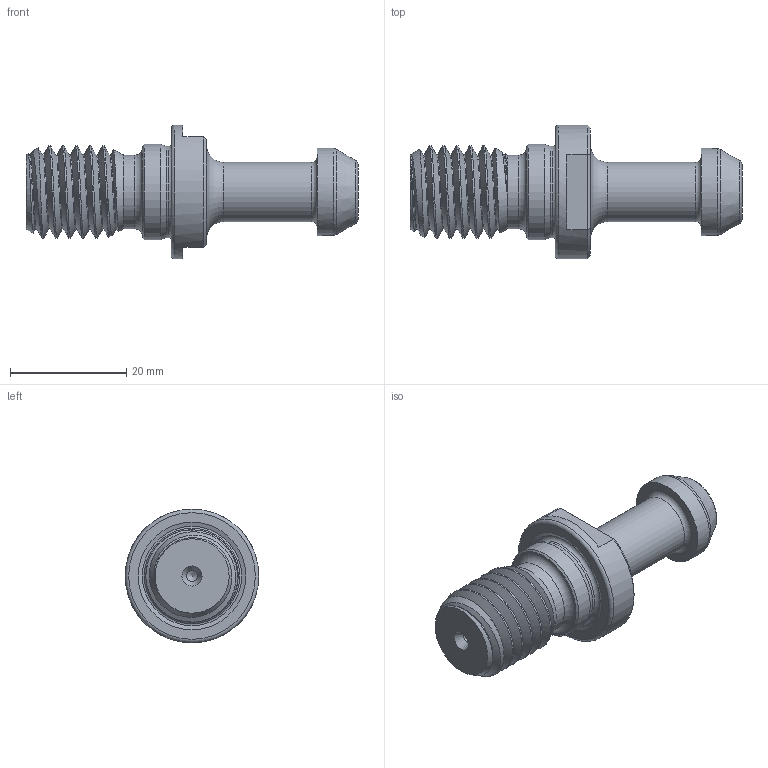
import cadquery as cq
import math

length = 57.15

threads_per_inch = 11
pitch = 25.4 / threads_per_inch
thread_radius = 7.94
thread_root_radius = 6.38
crest_width = pitch / 8
flank_slope = math.tan(math.radians(30))
taper_slope = math.tan(math.radians(30))
thread_tip_radius = 6.4
groove_overshoot = 0.15
groove_turns = 8
groove_lead_turns = 2.5
crest_x = 4.06
blank_overrun = pitch / 4

neck_start = 16.75
neck_radius = 6.35
neck_fillet = 1.3
collar_start = 20.03
collar_radius = 8.2
collar_corner = 0.3
collar_end = 23.2
relief_radius = 7.85
relief_start = 24.1

relief_arc_radius = 0.7
relief_depth = 0.25
relief_outer_radius = 9.26

flange_start = 25.0
flange_end = 31.05
flange_radius = 11.5
flange_fillet = 0.6
flange_chamfer = 0.5
flats_start = 27.0
flats_width = 19.0

shank_radius = 5.1
shank_fillet = 3.0
head_start = 50.1
head_radius = 7.5
head_fillet = 0.9
head_cone_start = 53.15
head_cone_slope = math.tan(math.radians(30))
head_shoulder_blend = 1.0
head_tip_blend = 0.9

centre_mouth_radius = 1.74
centre_pilot_radius = 0.92
centre_pilot_length = 1.5
centre_cone_slope = math.tan(math.radians(30))
drill_tip_slope = math.tan(math.radians(59))


def revolve_about_x(profile):
    """Turn a closed (x, radius) profile about the X axis."""
    return profile.close().revolve(360, (0, 0, 0), (1, 0, 0))


def fillet_arc(profile, start, end, centre):
    """Add a circular arc of a quarter turn or less from start to end about centre."""
    middle_x = (start[0] + end[0]) / 2 - centre[0]
    middle_r = (start[1] + end[1]) / 2 - centre[1]
    radius = math.dist(start, centre)
    stretch = radius / math.hypot(middle_x, middle_r)
    middle = (centre[0] + middle_x * stretch, centre[1] + middle_r * stretch)
    return profile.threePointArc(middle, end)


def thread_envelope():
    """Thread blank: a cylinder with a 30 degree taper at each end."""
    front_taper_length = (thread_radius - thread_tip_radius) / taper_slope
    back_taper_length = (thread_radius - neck_radius) / taper_slope
    profile = (
        cq.Workplane("XZ")
        .lineTo(0, thread_tip_radius)
        .lineTo(front_taper_length, thread_radius)
        .lineTo(neck_start - back_taper_length, thread_radius)
        .lineTo(neck_start, neck_radius)
        .lineTo(neck_start, 0)
    )
    return revolve_about_x(profile)


def thread_groove():
    """Right-hand V groove, wider at its mouth, that leaves the thread ridge standing."""
    mouth_radius = thread_radius + groove_overshoot
    root_half = (pitch - crest_width) / 2 - (thread_radius - thread_root_radius) * flank_slope
    mouth_half = root_half + (mouth_radius - thread_root_radius) * flank_slope
    section = (
        cq.Workplane("XZ")
        .moveTo(thread_root_radius, -root_half)
        .lineTo(mouth_radius, -mouth_half)
        .lineTo(mouth_radius, mouth_half)
        .lineTo(thread_root_radius, root_half)
        .close()
    )
    path = cq.Workplane(cq.Wire.makeHelix(pitch, groove_turns * pitch, thread_root_radius))
    groove = section.sweep(path, isFrenet=True)
    start = crest_x - groove_lead_turns * pitch
    return groove.rotate((0, 0, 0), (0, 1, 0), 90).translate((start, 0, 0))


def thread():
    """Threaded end: the groove cut in a plain cylinder, then trimmed to the tapered blank."""
    cylinder = cq.Workplane("YZ").circle(thread_radius).extrude(neck_start + blank_overrun)
    ridge = cylinder.cut(thread_groove()).intersect(thread_envelope())
    return ridge.rotate((0, 0, 0), (1, 0, 0), 180)


def neck_and_collar():
    """Neck, pilot collar and relief, up to inside the flange."""
    relief_bottom = flange_start + relief_depth
    neck_end = (collar_start - neck_fillet, neck_radius)
    wall_foot = (collar_start, neck_radius + neck_fillet)
    relief_end = (relief_bottom - relief_arc_radius, relief_radius)
    arc_top = (relief_bottom, relief_radius + relief_arc_radius)

    profile = cq.Workplane("XZ").moveTo(neck_start, 0).lineTo(neck_start, neck_radius).lineTo(*neck_end)
    profile = fillet_arc(profile, neck_end, wall_foot, (neck_end[0], wall_foot[1]))
    profile = (
        profile.lineTo(collar_start, collar_radius - collar_corner)
        .lineTo(collar_start + collar_corner, collar_radius)
        .lineTo(collar_end, collar_radius)
        .lineTo(relief_start, relief_radius)
        .lineTo(*relief_end)
    )
    profile = fillet_arc(profile, relief_end, arc_top, (relief_end[0], arc_top[1]))
    profile = profile.lineTo(flange_end, arc_top[1]).lineTo(flange_end, 0)
    return revolve_about_x(profile)


def flange():
    """Flange disc with a rounded front rim, two flats and a chamfered back face."""
    disc = cq.Workplane("YZ", origin=(flange_start, 0, 0)).circle(flange_radius)
    disc = disc.extrude(flange_end - flange_start).faces("<X").edges().fillet(flange_fillet)
    for side in (-1, 1):
        cutter = cq.Workplane("XY").box(
            flange_end - flats_start,
            2 * flange_radius,
            flange_radius,
            centered=(False, True, True),
        )
        cutter_centre = side * (flats_width / 2 + flange_radius / 2)
        disc = disc.cut(cutter.translate((flats_start, 0, cutter_centre)))
    return disc.faces(">X").edges().chamfer(flange_chamfer)


def face_relief():
    """Ring sunk into the front face of the flange around the collar."""
    inner_radius = relief_radius + relief_arc_radius
    profile = (
        cq.Workplane("XZ")
        .moveTo(flange_start, 0)
        .lineTo(flange_start, relief_outer_radius)
        .lineTo(flange_start + relief_depth, inner_radius)
        .lineTo(flange_start + relief_depth, 0)
    )
    return revolve_about_x(profile)


def pull_stud():
    """Shank with its root fillet, and the coned pull head."""
    tip_radius = head_radius - (length - head_cone_start) * head_cone_slope
    root_top = (flange_end, shank_radius + shank_fillet)
    root_end = (flange_end + shank_fillet, shank_radius)
    shank_end = (head_start - head_fillet, shank_radius)
    head_foot = (head_start, shank_radius + head_fillet)

    profile = cq.Workplane("XZ").moveTo(flange_end, 0).lineTo(*root_top)
    profile = fillet_arc(profile, root_top, root_end, (root_end[0], root_top[1]))
    profile = profile.lineTo(*shank_end)
    profile = fillet_arc(profile, shank_end, head_foot, (shank_end[0], head_foot[1]))
    profile = (
        profile.lineTo(head_start, head_radius)
        .lineTo(head_cone_start, head_radius)
        .lineTo(length, tip_radius)
        .lineTo(length, 0)
    )
    stud = revolve_about_x(profile)
    stud = stud.faces(">X").edges().fillet(head_tip_blend)
    cone_edge = stud.faces("%CONE").edges("%CIRCLE").edges("<X")
    return cone_edge.fillet(head_shoulder_blend)


def centre_drilling():
    """Countersunk pilot hole with a drill tip."""
    cone_depth = (centre_mouth_radius - centre_pilot_radius) / centre_cone_slope
    pilot_depth = cone_depth + centre_pilot_length
    profile = (
        cq.Workplane("XZ")
        .lineTo(0, centre_mouth_radius)
        .lineTo(cone_depth, centre_pilot_radius)
        .lineTo(pilot_depth, centre_pilot_radius)
        .lineTo(pilot_depth + centre_pilot_radius / drill_tip_slope, 0)
    )
    return revolve_about_x(profile)


body = flange().cut(face_relief()).union(neck_and_collar()).union(pull_stud())
result = body.union(thread()).cut(centre_drilling())